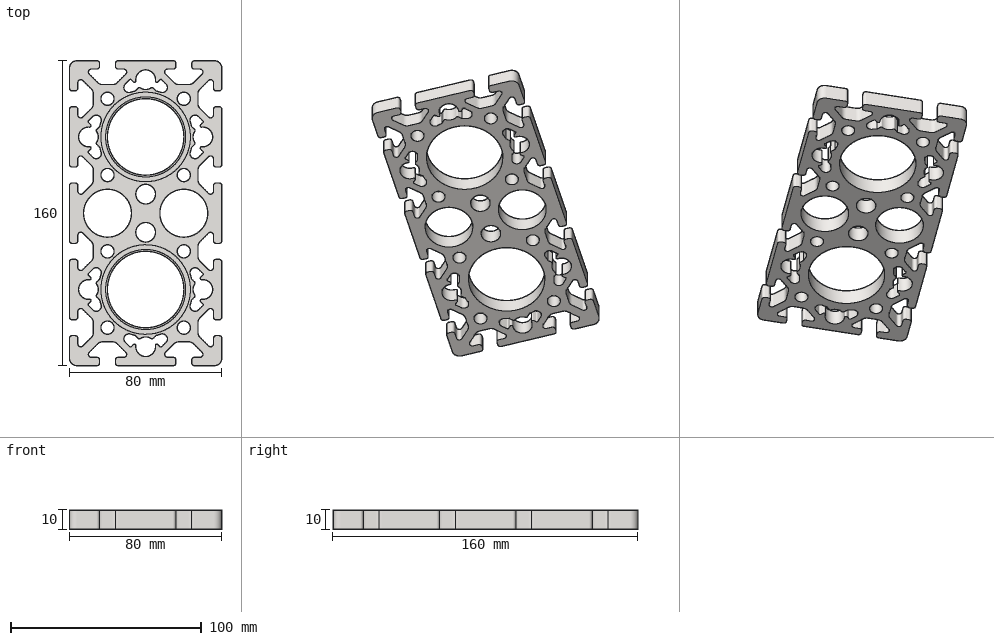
import cadquery as cq
import math

width = 80.0
length = 160.0
thickness = 10.0
pitch = 20.0
corner_radius = 4.0

mouth_half_width = 4.1
lip_thickness = 4.5
slot_depth = 12.5
slot_flank_sum = 16.6
lip_radius = 1.5
slot_floor_radius = 3.5
mouth_flare = 2 * lip_radius

bore_offset = 2 * pitch
bore_diameter = 40.0
groove_inner_diameter = 42.0
groove_outer_diameter = 47.0
groove_depth = 2.0

screw_hole_diameter = 6.8
core_hole_diameter = 10.2
core_hole_offset = 10.0
side_hole_diameter = 25.0

cavity_center_depth = 10.0
upper_wall_difference = 1.65
shoulder_sum = 17.6
lower_wall_difference = 10.4
neck_radius = 0.8
shoulder_radius = 0.6
lobe_end_radius = 2.6
bore_wall_radius = 24.75

toward_plate_edge = 90
upper_wall_side = 45
shoulder_side = 135
half_turn = 180

root2 = math.sqrt(2)


def rounded_outline(corners):
    """Closed sketch through (x, y, radius) corners, each rounded by a tangent arc."""
    sections = []
    for i, (x, y, radius) in enumerate(corners):
        if radius == 0:
            sections.append([(x, y)])
            continue
        before = cq.Vector(*corners[i - 1][:2])
        after = cq.Vector(*corners[(i + 1) % len(corners)][:2])
        corner = cq.Vector(x, y)
        to_before = (before - corner).normalized()
        to_after = (after - corner).normalized()
        half_angle = to_before.getAngle(to_after) / 2
        setback = radius / math.tan(half_angle)
        bisector = (to_before + to_after).normalized()
        middle = corner + bisector * (radius / math.sin(half_angle) - radius)
        start = corner + to_before * setback
        end = corner + to_after * setback
        sections.append([(p.x, p.y) for p in (start, middle, end)])

    sketch = cq.Workplane("XY").moveTo(*sections[0][-1])
    for section in sections[1:] + sections[:1]:
        sketch = sketch.lineTo(*section[0])
        if len(section) == 3:
            sketch = sketch.threePointArc(section[1], section[2])
    return sketch.close()


def t_slot():
    """T-slot cutter opening upward, its mouth centred on the origin."""
    undercut_half_width = slot_flank_sum - lip_thickness
    floor_half_width = slot_flank_sum - slot_depth
    flare_half_width = mouth_half_width + mouth_flare
    right_side = [
        (flare_half_width, mouth_flare, 0),
        (flare_half_width, 0, 0),
        (mouth_half_width, 0, lip_radius),
        (mouth_half_width, -lip_thickness, lip_radius),
        (undercut_half_width, -lip_thickness, lip_radius),
        (floor_half_width, -slot_depth, slot_floor_radius),
    ]
    left_side = [(-x, y, radius) for x, y, radius in reversed(right_side)]
    return rounded_outline(right_side + left_side).extrude(thickness)


def lobe():
    """Right-hand half of a three-lobed cavity, in (u, -d) with the plate edge at zero."""
    core_radius = core_hole_diameter / 2
    tangent_distance = core_radius + neck_radius
    bore_depth = width / 2

    neck_sum = shoulder_sum - cavity_center_depth - neck_radius * root2
    neck_difference = math.sqrt(2 * tangent_distance**2 - neck_sum**2)
    upper_neck_u = (neck_sum + neck_difference) / 2
    upper_neck_d = cavity_center_depth + (neck_sum - neck_difference) / 2

    lower_neck_difference = lower_wall_difference - cavity_center_depth + neck_radius * root2
    lower_neck_sum = math.sqrt(2 * tangent_distance**2 - lower_neck_difference**2)
    lower_neck_u = (lower_neck_sum - lower_neck_difference) / 2
    lower_neck_d = cavity_center_depth + (lower_neck_sum + lower_neck_difference) / 2

    end_distance = bore_wall_radius + lobe_end_radius
    end_sum = bore_depth - upper_wall_difference - lobe_end_radius * root2
    end_difference = math.sqrt(2 * end_distance**2 - end_sum**2)
    end_u = (end_sum - end_difference) / 2
    end_d = bore_depth - (end_sum + end_difference) / 2

    def polar(u, d, radius, angle):
        """Point at a radius and angle in degrees around the centre (u, d)."""
        turn = math.radians(angle)
        return (u + radius * math.cos(turn), -d + radius * math.sin(turn))

    def direction(u, d, center_depth):
        """Direction in degrees from the point (0, center_depth) to (u, d)."""
        return math.degrees(math.atan2(center_depth - d, u))

    upper_angle = direction(upper_neck_u, upper_neck_d, cavity_center_depth)
    lower_angle = direction(lower_neck_u, lower_neck_d, cavity_center_depth)
    end_angle = direction(end_u, end_d, bore_depth)

    shoulder_u = (shoulder_sum - upper_wall_difference) / 2
    shoulder_d = (shoulder_sum + upper_wall_difference) / 2 + shoulder_radius * root2

    heel_sum = bore_depth - lower_wall_difference
    heel_u = (heel_sum - math.sqrt(2 * bore_wall_radius**2 - heel_sum**2)) / 2
    heel_d = heel_u + lower_wall_difference
    heel_angle = direction(heel_u, heel_d, bore_depth)

    upper_neck_middle = (upper_angle + half_turn + shoulder_side + half_turn) / 2
    lower_neck_middle = (upper_wall_side + lower_angle + half_turn) / 2
    bore_wall_middle = (end_angle + heel_angle) / 2
    end_middle = (end_angle - half_turn + upper_wall_side) / 2

    return (
        cq.Workplane("XY")
        .moveTo(0, -cavity_center_depth)
        .lineTo(*polar(0, cavity_center_depth, core_radius, upper_angle))
        .threePointArc(
            polar(upper_neck_u, upper_neck_d, neck_radius, upper_neck_middle),
            polar(upper_neck_u, upper_neck_d, neck_radius, shoulder_side + half_turn),
        )
        .lineTo(*polar(shoulder_u, shoulder_d, shoulder_radius, shoulder_side))
        .threePointArc(
            polar(shoulder_u, shoulder_d, shoulder_radius, toward_plate_edge),
            polar(shoulder_u, shoulder_d, shoulder_radius, upper_wall_side),
        )
        .lineTo(*polar(end_u, end_d, lobe_end_radius, upper_wall_side))
        .threePointArc(
            polar(end_u, end_d, lobe_end_radius, end_middle),
            polar(end_u, end_d, lobe_end_radius, end_angle - half_turn),
        )
        .threePointArc(
            polar(0, bore_depth, bore_wall_radius, bore_wall_middle),
            (heel_u, -heel_d),
        )
        .lineTo(*polar(lower_neck_u, lower_neck_d, neck_radius, upper_wall_side))
        .threePointArc(
            polar(lower_neck_u, lower_neck_d, neck_radius, lower_neck_middle),
            polar(0, cavity_center_depth, core_radius, lower_angle),
        )
        .close()
        .extrude(thickness)
    )


def cavity():
    """Three-lobed cavity cutter below the origin, symmetric about the Y axis."""
    core = (
        cq.Workplane("XY")
        .center(0, -cavity_center_depth)
        .circle(core_hole_diameter / 2)
        .extrude(thickness)
    )
    side_lobe = lobe()
    return core.union(side_lobe).union(side_lobe.mirror("YZ"))


def place(cutter, x, y, turn):
    """Turn a cutter about Z (degrees) and move its origin to (x, y)."""
    return cutter.rotate((0, 0, 0), (0, 0, 1), turn).translate((x, y, 0))


def cut_slots(plate):
    slot = t_slot()
    for x in (-pitch, pitch):
        plate = plate.cut(place(slot, x, length / 2, 0))
        plate = plate.cut(place(slot, x, -length / 2, 180))
    for y in (-3 * pitch, -pitch, pitch, 3 * pitch):
        plate = plate.cut(place(slot, -width / 2, y, 90))
        plate = plate.cut(place(slot, width / 2, y, -90))
    return plate


def cut_cavities(plate):
    cutter = cavity()
    plate = plate.cut(place(cutter, 0, length / 2, 0))
    plate = plate.cut(place(cutter, 0, -length / 2, 180))
    for y in (-bore_offset, bore_offset):
        plate = plate.cut(place(cutter, -width / 2, y, 90))
        plate = plate.cut(place(cutter, width / 2, y, -90))
    return plate


def cut_bores(plate):
    centers = [(0, -bore_offset), (0, bore_offset)]
    groove = (
        cq.Workplane("XY")
        .workplane(offset=thickness - groove_depth)
        .pushPoints(centers)
        .circle(groove_outer_diameter / 2)
        .circle(groove_inner_diameter / 2)
        .extrude(groove_depth)
    )
    return cut_round_holes(plate, centers, bore_diameter).cut(groove)


def cut_round_holes(plate, centers, diameter):
    holes = cq.Workplane("XY").pushPoints(centers).circle(diameter / 2).extrude(thickness)
    return plate.cut(holes)


screw_centers = [
    (x, y) for x in (-pitch, pitch) for y in (-3 * pitch, -pitch, pitch, 3 * pitch)
]
core_centers = [(0, -core_hole_offset), (0, core_hole_offset)]
side_centers = [(-pitch, 0), (pitch, 0)]

result = (
    cq.Workplane("XY")
    .box(width, length, thickness, centered=(True, True, False))
    .edges("|Z")
    .fillet(corner_radius)
)
result = cut_slots(result)
result = cut_cavities(result)
result = cut_bores(result)
result = cut_round_holes(result, screw_centers, screw_hole_diameter)
result = cut_round_holes(result, core_centers, core_hole_diameter)
result = cut_round_holes(result, side_centers, side_hole_diameter)